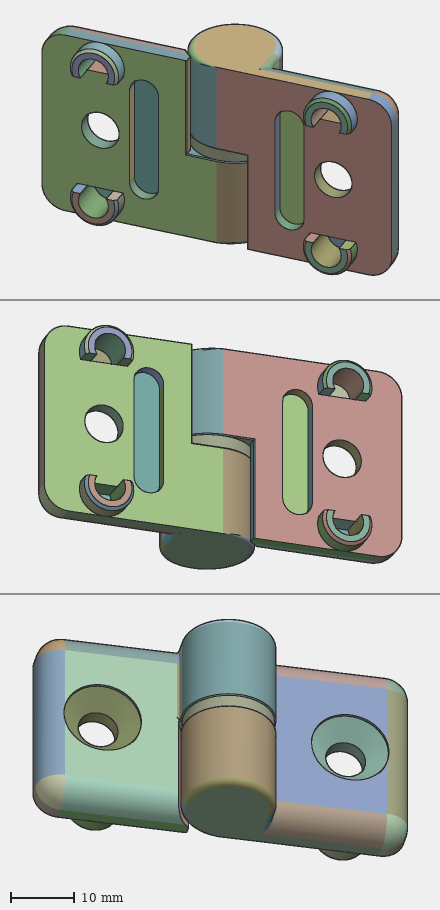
import cadquery as cq
import math

length = 60.0
height = 32.0
half_height = height / 2

plate_thickness = 6.0
plate_corner_radius = 4.0
plate_edge_radius = 3.95

knuckle_radius = 7.5
knuckle_end_radius = 1.0
knuckle_blend_radius = 0.5
spacer_thickness = 2.05
half_spacer = spacer_thickness / 2
edge_break = 0.2
spacer_radius = knuckle_radius - edge_break

knuckle_clearance = 0.4
notch_radius = knuckle_radius + knuckle_clearance
notch_edge_x = 5.15

screw_x = 20.0
screw_diameter = 6.4
screw_hole_depth = 2.5
screw_head_diameter = 12.5
countersink_end = screw_hole_depth + (screw_head_diameter - screw_diameter) / 2

slot_x = 12.5
slot_length = 21.6
slot_width = 5.0
slot_depth = 2.0

peg_radius = 4.15
peg_bore_radius = 2.6
peg_bore_depth = 3.6
peg_length = 2.8
peg_chamfer = 0.5
peg_flat_offset = 1.3
peg_z = half_height - peg_radius

fade_angles = (0, 22, 44, 66, 88)
cutter_margin = 0.6

pick_margin = 0.05


def wall_plane(y):
    """Sketch plane facing -Y at the given Y; local x is X, local y is Z."""
    return cq.Workplane("XZ", origin=(0, y, 0))


def plan_plane(z):
    """Sketch plane facing +Z at the given Z."""
    return cq.Workplane("XY", origin=(0, 0, z))


def make_plate():
    plate = cq.Workplane("XY").box(
        length / 2, plate_thickness, height, centered=(False, False, True)
    )
    plate = plate.edges("|Y and >X").fillet(plate_corner_radius)
    return plate.faces(">Y").edges("not <X").fillet(plate_edge_radius)


def make_knuckle():
    """Round barrel with a square foot, from the spacer to the leaf end."""
    knuckle_length = half_height - half_spacer
    return (
        plan_plane(half_spacer)
        .moveTo(0, 0)
        .lineTo(knuckle_radius, 0)
        .lineTo(knuckle_radius, knuckle_radius)
        .threePointArc((0, 2 * knuckle_radius), (-knuckle_radius, knuckle_radius))
        .radiusArc((0, 0), -knuckle_radius)
        .close()
        .extrude(knuckle_length)
        .faces("<Z")
        .edges()
        .chamfer(edge_break)
    )


def end_rounding_section(radius, turn):
    """Cutter section that rounds the barrel's end edge; turn is the angle about the knuckle axis."""
    plane = cq.Plane(
        origin=(0, knuckle_radius, half_height),
        xDir=(math.cos(math.radians(turn)), math.sin(math.radians(turn)), 0),
        normal=(math.sin(math.radians(turn)), -math.cos(math.radians(turn)), 0),
    )
    inner = knuckle_radius - radius
    outer = knuckle_radius + cutter_margin
    middle = radius * math.sqrt(0.5)
    return (
        cq.Workplane(plane)
        .moveTo(inner, 0)
        .threePointArc((inner + middle, middle - radius), (knuckle_radius, -radius))
        .lineTo(outer, -radius)
        .lineTo(outer, cutter_margin)
        .lineTo(inner, cutter_margin)
        .close()
    )


def round_knuckle_end(knuckle):
    """Round the end edge of the flat side and the barrel, fading out below the axis."""
    full_section = end_rounding_section(knuckle_end_radius, 0)
    flat_side = full_section.extrude(knuckle_radius + cutter_margin)
    barrel = end_rounding_section(knuckle_end_radius, 0).revolve(
        180, (0, 0, 0), (0, 1, 0)
    )
    fading_wires = [
        end_rounding_section(
            knuckle_end_radius * math.cos(math.radians(angle)), 180 + angle
        ).val()
        for angle in fade_angles
    ]
    fading = cq.Solid.makeLoft(fading_wires)
    return knuckle.cut(flat_side).cut(barrel).cut(cq.Workplane(fading))


def make_notch():
    """Space for the other leaf's knuckle, with a chamfered mouth on the mounting face."""
    notch_height = half_height + half_spacer
    box = (
        plan_plane(-half_height)
        .rect(2 * notch_edge_x, 2 * knuckle_radius)
        .extrude(notch_height)
    )
    round_part = (
        plan_plane(-half_height)
        .center(0, knuckle_radius)
        .circle(notch_radius)
        .extrude(notch_height)
    )
    mouth_height = 2 * (notch_height + edge_break)
    mouth = (
        wall_plane(0)
        .center(0, half_spacer + edge_break - mouth_height / 2)
        .rect(2 * (notch_edge_x + edge_break), mouth_height)
        .extrude(-edge_break, taper=45)
    )
    return box.union(round_part).union(mouth)


def blend_knuckle_into_plate(leaf):
    """Fillet the inner corner between the knuckle's flat side and the plate."""
    corner = cq.selectors.BoxSelector(
        (knuckle_radius - pick_margin, pick_margin, half_spacer + pick_margin),
        (knuckle_radius + pick_margin, plate_thickness + pick_margin, half_height),
        boundingbox=True,
    )
    return leaf.edges(corner).fillet(knuckle_blend_radius)


def cut_screw_hole(leaf):
    """Revolve the stepped hole profile about the screw axis, which runs along Y."""
    hole = (
        cq.Workplane("XY")
        .center(screw_x, 0)
        .lineTo(screw_diameter / 2, 0)
        .lineTo(screw_diameter / 2, screw_hole_depth)
        .lineTo(screw_head_diameter / 2, countersink_end)
        .lineTo(screw_head_diameter / 2, plate_thickness)
        .lineTo(0, plate_thickness)
        .close()
        .revolve(360, (0, 0, 0), (0, 1, 0))
    )
    return leaf.cut(hole)


def cut_slot(leaf):
    slot = wall_plane(slot_depth).center(slot_x, 0).slot2D(slot_length, slot_width, 90)
    return leaf.cut(slot.extrude(slot_depth))


def peg_section(radius, side, start_y):
    """D-shaped section, flat towards the screw hole; side is +1 for the upper peg, -1 for the lower."""
    flat_half_width = math.sqrt(radius**2 - peg_flat_offset**2)
    return (
        wall_plane(start_y)
        .center(screw_x, side * peg_z)
        .moveTo(-flat_half_width, -side * peg_flat_offset)
        .threePointArc((0, side * radius), (flat_half_width, -side * peg_flat_offset))
        .close()
    )


def add_peg(leaf, side):
    """Locating peg with a blind bore that runs on into the plate."""
    peg = peg_section(peg_radius, side, 0).extrude(peg_length)
    peg = peg.faces("<Y").edges("%CIRCLE").chamfer(peg_chamfer)
    bore = peg_section(peg_bore_radius, side, peg_bore_depth).extrude(peg_bore_depth + peg_length)
    return leaf.union(peg).cut(bore)


def make_leaf():
    """Leaf on the +X side, carrying the upper knuckle."""
    knuckle = round_knuckle_end(make_knuckle())
    leaf = make_plate().cut(make_notch()).union(knuckle)
    leaf = blend_knuckle_into_plate(leaf)
    leaf = cut_screw_hole(leaf)
    leaf = cut_slot(leaf)
    for side in (1, -1):
        leaf = add_peg(leaf, side)
    return leaf


def make_spacer():
    return (
        plan_plane(-half_spacer)
        .center(0, knuckle_radius)
        .circle(spacer_radius)
        .extrude(spacer_thickness)
    )


right_leaf = make_leaf()
left_leaf = right_leaf.rotate((0, 0, 0), (0, 1, 0), 180)
spacer = make_spacer()

result = cq.Compound.makeCompound([right_leaf.val(), left_leaf.val(), spacer.val()])